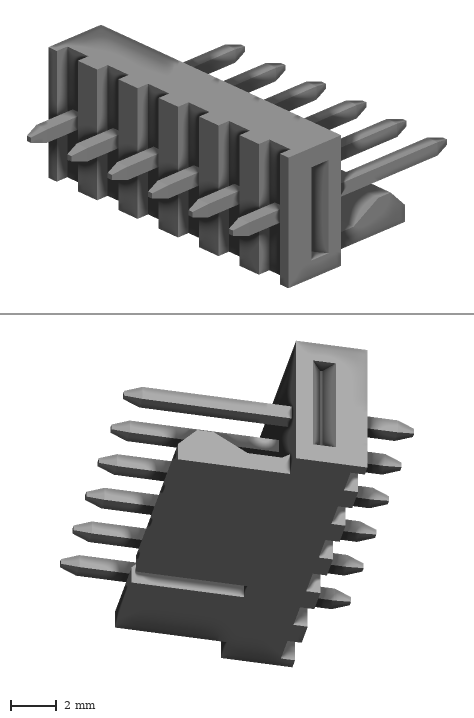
import cadquery as cq

BODY_LENGTH = 15.09
BODY_DEPTH = 3.18
BODY_HEIGHT = 6.35

PIN_COUNT = 6
PIN_ROW_SPAN = 12.7
PIN_PITCH = PIN_ROW_SPAN / (PIN_COUNT - 1)
PIN_WIDTH = 0.65
PIN_TIP_WIDTH = 0.25
PIN_TIP_LENGTH = 0.77
PIN_LENGTH = 12.95
PIN_REAR_REACH = 7.44
PIN_HEIGHT = 3.1

GROOVE_WIDTH = 1.33
GROOVE_DEPTH = 0.63

LATCH_REACH = 5.01
LATCH_THICKNESS = 0.83
LATCH_HOOK_HEIGHT = 1.72
LATCH_CREST_REAR = 4.15
LATCH_CREST_FRONT = 3.41
LATCH_HOOK_FOOT = 1.9
LATCH_ROOT_RUN = 0.36
LATCH_ROOT_RISE = 0.24
LATCH_WIDTH = PIN_ROW_SPAN
LATCH_SLOT_WIDTH = 0.83
LATCH_SLOT_CENTER = PIN_PITCH

POCKET_WIDTH = 1.03
POCKET_FLOOR_WIDTH = 0.1
POCKET_HEIGHT = 4.53
POCKET_BOTTOM = 0.88
POCKET_SETBACK = 0.75
POCKET_DEPTH = 0.68

PIN_POSITIONS = [(i - (PIN_COUNT - 1) / 2) * PIN_PITCH for i in range(PIN_COUNT)]


def make_block(width, depth, height, x_center, y_front, z_bottom):
    """Box centred on x_center that starts at y_front and z_bottom."""
    block = cq.Workplane("XY").box(width, depth, height, centered=(True, False, False))
    return block.translate((x_center, y_front, z_bottom))


def make_body():
    """Housing block with a full-height groove in front of every pin."""
    body = make_block(BODY_LENGTH, BODY_DEPTH, BODY_HEIGHT, 0, -BODY_DEPTH, 0)
    for x in PIN_POSITIONS:
        body = body.cut(make_block(GROOVE_WIDTH, GROOVE_DEPTH, BODY_HEIGHT, x, -BODY_DEPTH, 0))
    return body


def make_end_pocket():
    """Pocket in the -X end, narrowing from its mouth to a thin flat floor."""
    mouth_x = -BODY_LENGTH / 2
    floor_x = mouth_x + POCKET_DEPTH
    center_y = -POCKET_SETBACK - POCKET_WIDTH / 2
    section = [
        (mouth_x, center_y - POCKET_WIDTH / 2),
        (floor_x, center_y - POCKET_FLOOR_WIDTH / 2),
        (floor_x, center_y + POCKET_FLOOR_WIDTH / 2),
        (mouth_x, center_y + POCKET_WIDTH / 2),
    ]
    pocket = cq.Workplane("XY").polyline(section).close().extrude(POCKET_HEIGHT)
    return pocket.translate((0, 0, POCKET_BOTTOM))


def make_latch():
    """Hooked latch wall along the bottom rear edge, with a slot through it."""
    profile = [
        (0, 0),
        (LATCH_REACH, 0),
        (LATCH_REACH, LATCH_THICKNESS),
        (LATCH_CREST_REAR, LATCH_HOOK_HEIGHT),
        (LATCH_CREST_FRONT, LATCH_HOOK_HEIGHT),
        (LATCH_HOOK_FOOT, LATCH_THICKNESS),
        (LATCH_ROOT_RUN, LATCH_THICKNESS),
        (0, LATCH_THICKNESS + LATCH_ROOT_RISE),
    ]
    latch = cq.Workplane("YZ").polyline(profile).close().extrude(LATCH_WIDTH / 2, both=True)
    slot = make_block(LATCH_SLOT_WIDTH, LATCH_REACH, LATCH_HOOK_HEIGHT, LATCH_SLOT_CENTER, 0, 0)
    return latch.cut(slot)


def make_pin():
    """Square pin along Y with both ends tapered to a small square tip."""
    shank_length = PIN_LENGTH - 2 * PIN_TIP_LENGTH
    half_shank = shank_length / 2
    pin = cq.Workplane("XZ").rect(PIN_WIDTH, PIN_WIDTH).extrude(half_shank, both=True)
    tip = (
        cq.Workplane("XZ", origin=(0, -half_shank, 0))
        .rect(PIN_WIDTH, PIN_WIDTH)
        .workplane(offset=PIN_TIP_LENGTH)
        .rect(PIN_TIP_WIDTH, PIN_TIP_WIDTH)
        .loft(ruled=True)
    )
    pin = pin.union(tip).union(tip.mirror("XZ"))
    return pin.translate((0, PIN_REAR_REACH - PIN_LENGTH / 2, PIN_HEIGHT))


end_pocket = make_end_pocket()
housing = make_body().cut(end_pocket).cut(end_pocket.mirror("YZ"))
result = housing.union(make_latch())
pin = make_pin()
for x in PIN_POSITIONS:
    result = result.union(pin.translate((x, 0, 0)))